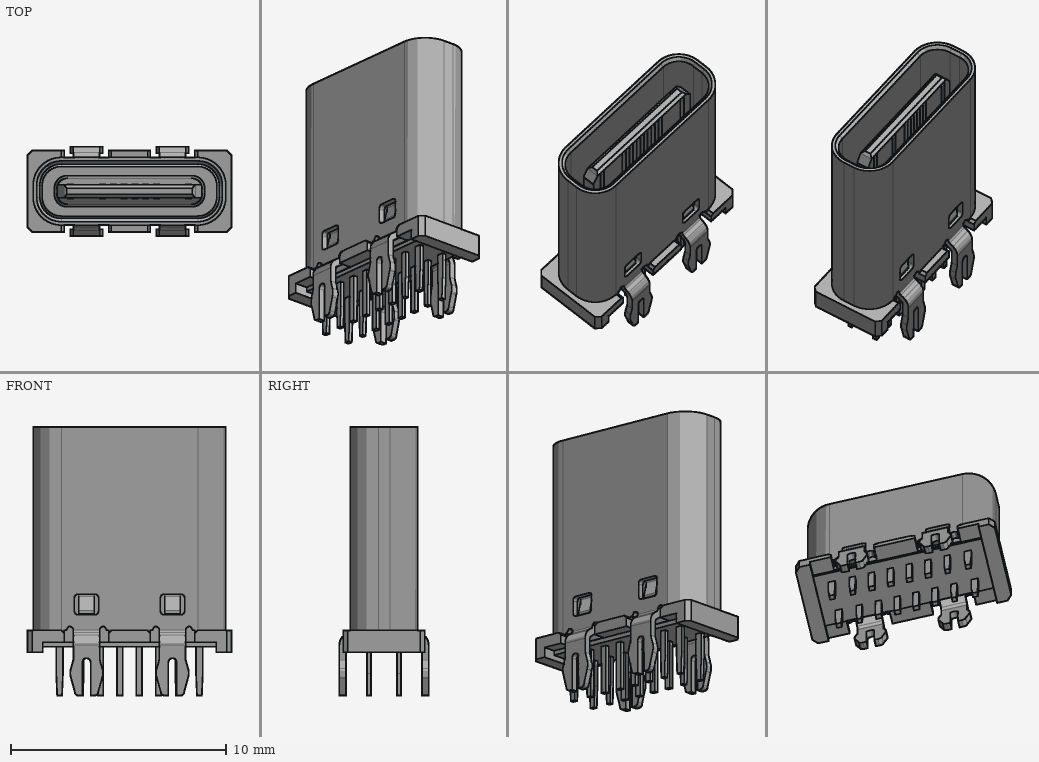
import cadquery as cq
import math

total_height = 12.5
flange_top = 3.04
flange_underside = 2.49
core_bottom = 2.28
core_plate_inset = 0.04
feet_bottom = 2.01

flange_length = 9.5
flange_depth = 3.8
flange_corner_chamfer = 0.22
foot_length = 0.72
block_end_chamfer = 0.14

shell_length = 8.96
shell_depth = 3.15
shell_corner = 1.3
shell_wall = 0.31
rim_flat = 0.16
rim_chamfer = shell_wall - rim_flat
shell_inner_half = shell_depth / 2 - shell_wall

floor_level = 7.75
floor_edge_chamfer = 0.11
tongue_tip = 11.98
tongue_shoulder = 11.85
tongue_half_thickness = 0.31
tip_half_thickness = 0.15
tongue_half_length = 3.06
tip_half_length = 2.92
flare_half_length = 3.35
flare_level = 11.45
base_length = 7
base_depth = 1.45
base_corner = 0.6
base_foot_height = 0.5
base_foot_inset = 0.12
base_slope_top = 9

contact_width = 0.25
contact_height = 0.02
contact_bevel = 0.12
front_contacts = (-2.75, -1.25, -0.25, 0.25, 0.75, 1.25, 2.75)
back_contacts = (-2.75, -1.25, -0.75, -0.25, 0.25, 0.75, 1.25, 2.75)

tab_span_y = 4.16
tab_x = 2
tab_half_width = 0.61
tab_thickness = 0.32
tab_outer_y = tab_span_y / 2
tab_bend_radius = 0.55
tab_bend_angle = math.radians(58)
tab_bend_level = 2.36
tab_root_radius = 0.14
tab_slit_width = 0.38
tab_slit_top = 1.74
fork_neck_level = 1.68
fork_bulge_half_width = 0.76
fork_bulge_level = 1.05
fork_bulge_height = 0.45
fork_bulge_end_half_width = 0.72
fork_tip_half_width = 0.36
fork_tip_corner = 0.19
gap_half_width = 1.02
notch_foot = 0.95
notch_peak = 0.78
notch_peak_level = 3.22
notch_shoulder_half = 0.08
notch_shoulder_level = 3.19
notch_tab_level = 3.11

window_width = 1.12
window_bottom = 3.76
window_height = 0.96
window_corner = 0.18
latch_width = 0.7
latch_bottom = 3.8
latch_step = 3.98
latch_top = 4.62
latch_height = 0.16

pin_row_y = 0.7
pin_thickness = 0.2
pin_taper_top = 1.04
pin_width = 0.28
outer_pin_tip_width = 0.21
end_pin_width = 0.32
end_pin_tip_width = 0.24
pin_places = (
    (0.45, pin_width, pin_width),
    (1.35, pin_width, pin_width),
    (2.26, pin_width, outer_pin_tip_width),
    (3.25, end_pin_width, end_pin_tip_width),
)


def box_between(x_range, y_range, z_range):
    size = [high - low for low, high in (x_range, y_range, z_range)]
    corner = (x_range[0], y_range[0], z_range[0])
    return cq.Workplane("XY").box(*size, centered=False).translate(corner)


def slab_along_y(profile, y_start, y_end):
    """Solid from an XZ outline, spanning y_start to y_end."""
    return profile.extrude(y_start - y_end).translate((0, y_start, 0))


def mirrored_outline(right_half):
    """Points of a right half followed by their mirror images, ready to close."""
    return right_half + [(-u, v) for u, v in reversed(right_half)]


def on_both_sides(solid):
    """The solid together with its copy on the opposite long side."""
    return solid.union(solid.mirror("XZ"))


def make_flange():
    """Chamfered plate with a foot left standing at each end."""
    plate = (
        cq.Workplane("XY").workplane(offset=feet_bottom)
        .rect(flange_length, flange_depth).extrude(flange_top - feet_bottom)
        .edges("|Z").chamfer(flange_corner_chamfer)
    )
    between_feet = flange_length / 2 - foot_length
    return plate.cut(box_between(
        (-between_feet, between_feet), (-flange_depth, flange_depth), (0, flange_underside)))


def tapered_block(length, depth, corner, inset, bottom, top):
    """Rounded block whose outline grows inward by inset from bottom to top."""
    def outline(offset, level):
        sketch = cq.Sketch().rect(length - 2 * offset, depth - 2 * offset)
        return sketch.vertices().fillet(corner - offset).moved(cq.Location(cq.Vector(0, 0, level)))

    return cq.Workplane("XY").placeSketch(outline(0, bottom), outline(inset, top)).loft()


def shell_oval(inset, bottom, top, taper_inset=0):
    """Oval block set inward from the shell's outer face; a negative taper_inset widens its top."""
    return tapered_block(
        shell_length - 2 * inset, shell_depth - 2 * inset, shell_corner - inset,
        taper_inset, bottom, top)


def make_shell():
    """Oval shell filled by the insulator up to the floor, with a chamfered rim."""
    floor_edge = floor_level - floor_edge_chamfer
    rim_start = total_height - rim_chamfer
    outer = shell_oval(0, flange_underside, total_height)
    cavity = shell_oval(shell_wall, floor_edge, total_height)
    rim = shell_oval(shell_wall, rim_start, total_height, -rim_chamfer)
    floor = shell_oval(shell_wall, floor_edge, floor_level, floor_edge_chamfer)
    return outer.cut(cavity).cut(rim).union(floor)


def make_core():
    """Insulator body that fills the shell, on a plate that reaches between the flange feet."""
    plate_half_length = flange_length / 2 - foot_length
    plate_half_depth = shell_inner_half - core_plate_inset
    plate = box_between(
        (-plate_half_length, plate_half_length), (-plate_half_depth, plate_half_depth),
        (core_bottom, flange_underside))
    return shell_oval(shell_wall, flange_underside, flange_top).union(plate)


def make_tongue():
    """Rounded foot below a tongue that is the overlap of its side and end outlines."""
    foot_top = floor_level + base_foot_height
    upper_length = base_length - 2 * base_foot_inset
    upper_depth = base_depth - 2 * base_foot_inset
    side = mirrored_outline([
        (upper_length / 2, foot_top),
        (flare_half_length, flare_level),
        (tongue_half_length, tongue_shoulder),
        (tip_half_length, tongue_tip),
    ])
    end = mirrored_outline([
        (upper_depth / 2, foot_top),
        (tongue_half_thickness, base_slope_top),
        (tongue_half_thickness, tongue_shoulder),
        (tip_half_thickness, tongue_tip),
    ])
    foot = tapered_block(
        base_length, base_depth, base_corner, base_foot_inset, floor_level, foot_top)
    plan = tapered_block(
        upper_length, upper_depth, base_corner - base_foot_inset, 0, foot_top, tongue_tip)
    side_solid = cq.Workplane("XZ").polyline(side).close().extrude(base_depth, both=True)
    end_solid = cq.Workplane("YZ").polyline(end).close().extrude(base_length, both=True)
    return plan.intersect(side_solid).intersect(end_solid).union(foot)


def make_contact(x, facing):
    """Raised strip on the tongue face that points to facing (-1 or +1) along Y."""
    face = facing * tongue_half_thickness
    raised = face + facing * contact_height
    outline = [
        (0, base_slope_top),
        (raised, base_slope_top),
        (raised, tongue_shoulder - contact_bevel),
        (face, tongue_shoulder),
        (0, tongue_shoulder),
    ]
    strip = cq.Workplane("YZ").polyline(outline).close().extrude(contact_width / 2, both=True)
    return strip.translate((x, 0, 0))


def make_notch():
    """Rounded peak that clears the shell beside the right edge of a tab."""
    outline = (
        cq.Workplane("XZ")
        .moveTo(notch_foot, flange_top)
        .lineTo(notch_peak + notch_shoulder_half, notch_shoulder_level)
        .threePointArc(
            (notch_peak, notch_peak_level), (notch_peak - notch_shoulder_half, notch_shoulder_level))
        .lineTo(tab_half_width, notch_tab_level)
        .lineTo(tab_half_width, flange_top)
        .close()
    )
    return slab_along_y(outline, -shell_depth / 2, -shell_inner_half)


def make_tab_gap(x):
    """Clearance round a tab: a chamfered gap in the flange and a shell notch at each side."""
    gap = box_between(
        (-gap_half_width, gap_half_width), (-flange_depth, -shell_inner_half), (0, flange_top))
    chamfer_outline = mirrored_outline([
        (gap_half_width, flange_top - block_end_chamfer),
        (gap_half_width + block_end_chamfer, flange_top),
    ])
    chamfers = slab_along_y(
        cq.Workplane("XZ").polyline(chamfer_outline).close(), -flange_depth, -shell_depth / 2)
    notch = make_notch()
    return gap.union(chamfers).union(notch).union(notch.mirror("YZ")).translate((x, 0, 0))


def make_bent_sheet():
    """Wide sheet that leaves the shell on a small arc, slopes outward and bends straight down."""
    inner_radius = tab_bend_radius - tab_thickness
    bend_y = tab_outer_y - tab_bend_radius
    shell_face = shell_depth / 2
    half_angle = tab_bend_angle / 2

    def on_bend(radius, angle):
        return (-bend_y - radius * math.cos(angle), tab_bend_level + radius * math.sin(angle))

    def slope_level(bend_start, y):
        return bend_start[1] + (-bend_start[0] - y) / math.tan(tab_bend_angle)

    outer_start = on_bend(tab_bend_radius, tab_bend_angle)
    inner_start = on_bend(inner_radius, tab_bend_angle)
    root_level = slope_level(outer_start, shell_face) + tab_root_radius * math.tan(half_angle)

    def on_root(angle):
        run = tab_root_radius * (1 - math.cos(angle))
        return (-shell_face - run, root_level - tab_root_radius * math.sin(angle))

    return (
        cq.Workplane("YZ")
        .moveTo(-shell_inner_half, root_level)
        .lineTo(*on_root(0))
        .threePointArc(on_root(half_angle), on_root(tab_bend_angle))
        .lineTo(*outer_start)
        .threePointArc(on_bend(tab_bend_radius, half_angle), on_bend(tab_bend_radius, 0))
        .lineTo(-tab_outer_y, 0)
        .lineTo(-tab_outer_y + tab_thickness, 0)
        .lineTo(*on_bend(inner_radius, 0))
        .threePointArc(on_bend(inner_radius, half_angle), inner_start)
        .lineTo(-shell_inner_half, slope_level(inner_start, shell_inner_half))
        .close()
        .extrude(gap_half_width, both=True)
    )


def make_fork_half():
    """Right half of a tab seen along Y: straight neck, bulge, tapered tip and half the slit."""
    bulge_top = fork_bulge_level + fork_bulge_height / 2
    bulge_bottom = fork_bulge_level - fork_bulge_height / 2
    slit_half = tab_slit_width / 2
    slit_shoulder = tab_slit_top - slit_half
    diagonal = math.sqrt(0.5)
    outline = (
        cq.Workplane("XZ")
        .moveTo(0, total_height)
        .lineTo(tab_half_width, total_height)
        .lineTo(tab_half_width, fork_neck_level)
        .lineTo(fork_bulge_end_half_width, bulge_top)
        .threePointArc(
            (fork_bulge_half_width, fork_bulge_level), (fork_bulge_end_half_width, bulge_bottom))
        .lineTo(fork_tip_half_width + fork_tip_corner, fork_tip_corner)
        .threePointArc(
            (fork_tip_half_width + fork_tip_corner * diagonal, fork_tip_corner * (1 - diagonal)),
            (fork_tip_half_width, 0))
        .lineTo(slit_half, 0)
        .lineTo(slit_half, slit_shoulder)
        .threePointArc(
            (slit_half * diagonal, slit_shoulder + slit_half * diagonal), (0, tab_slit_top))
        .close()
    )
    return slab_along_y(outline, -flange_depth, 0)


def make_tab(x):
    """Bent sheet trimmed to the fork outline."""
    fork_half = make_fork_half()
    fork = fork_half.union(fork_half.mirror("YZ"))
    return make_bent_sheet().intersect(fork).translate((x, 0, 0))


def make_window(x):
    """Rounded opening through the shell wall down to the insulator."""
    return (
        box_between(
            (-window_width / 2, window_width / 2), (-shell_depth / 2, -shell_inner_half),
            (window_bottom, window_bottom + window_height))
        .edges("|Y").fillet(window_corner).translate((x, 0, 0))
    )


def make_latch(x):
    """Wedge on the insulator that shows through a window."""
    outline = [
        (-shell_inner_half, latch_bottom),
        (-shell_inner_half - latch_height, latch_bottom),
        (-shell_inner_half - latch_height, latch_step),
        (-shell_inner_half, latch_top),
    ]
    wedge = cq.Workplane("YZ").polyline(outline).close().extrude(latch_width / 2, both=True)
    return wedge.translate((x, 0, 0))


def make_pin(x, y, width, tip_width):
    """Flat pin whose lower end narrows from width to tip_width."""
    outline = mirrored_outline([
        (tip_width / 2, 0),
        (width / 2, pin_taper_top),
        (width / 2, flange_underside),
    ])
    pin = cq.Workplane("XZ").polyline(outline).close().extrude(pin_thickness / 2, both=True)
    return pin.translate((x, y, 0))


result = make_flange().union(make_shell())

for x in (-tab_x, tab_x):
    result = result.cut(on_both_sides(make_tab_gap(x)))
    result = result.cut(on_both_sides(make_window(x)))

result = result.union(make_core()).union(make_tongue())

for x in (-tab_x, tab_x):
    result = result.union(on_both_sides(make_tab(x)))
    result = result.union(on_both_sides(make_latch(x)))

for x in front_contacts:
    result = result.union(make_contact(x, -1))
for x in back_contacts:
    result = result.union(make_contact(x, 1))

for x, width, tip_width in pin_places:
    for side in (-1, 1):
        for y in (-pin_row_y, pin_row_y):
            result = result.union(make_pin(side * x, y, width, tip_width))